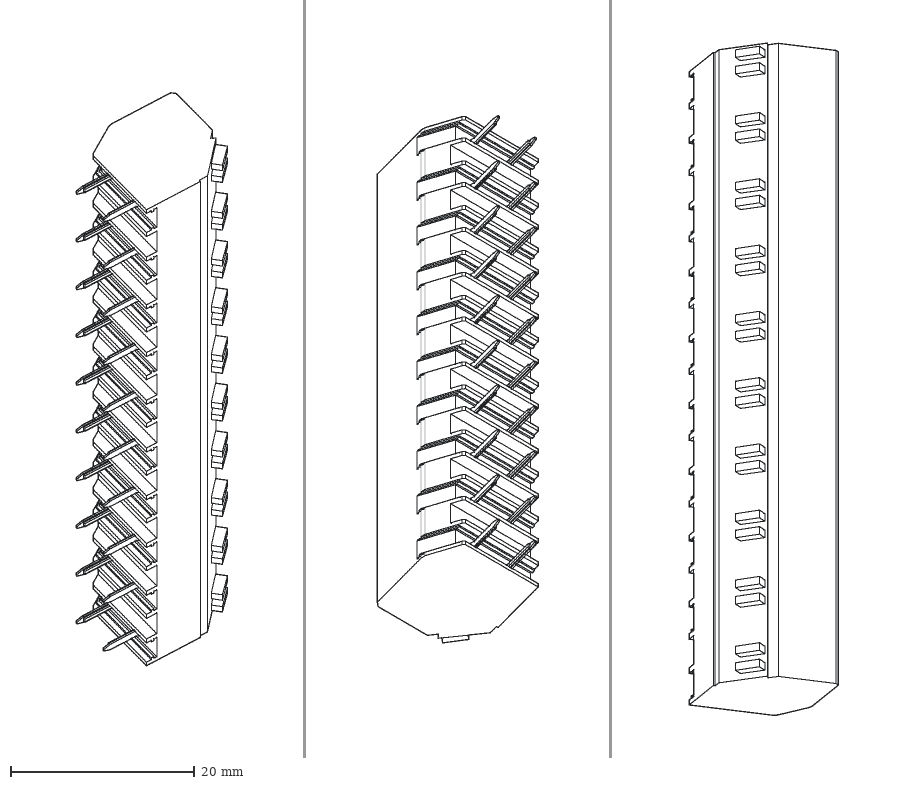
import cadquery as cq

length = 72.8
pole_count = 10
end_margin = 2.1
pitch = (length - 2 * end_margin) / (pole_count - 1)
first_pole_z = end_margin - length / 2

width = 12.7
depth = 12.8
back_bevel = 0.45
back_edge_end = 7.2
notch_depth = 0.9
slope_start = (8.4, 12.45)
step_x = 12.45
step_y = 7.3
chamfer_x = 2.55
chamfer_y = 4.15
side_bevel_y = 4.45
side_bevel_end_y = 3.9
pin_side_bevel_y = 0.2
pin_side_bevel_x = 2.7

pocket_floor = 1.4
pocket_shift = 0.65
pocket_height = 3.05
rib_front = 0.65
rib_front_shift = 0.2
rib_back = 1.0
rib_back_shift = 0.45
rib_opening = 2.55
gap_height = 3.3

pin_centres_x = (4.65, 9.45)
pin_layer = 0.2
pin_height = 0.9
pin_short_height = 0.5
pin_reach = 3.6
pin_tip_length = 0.9
pin_tip_height = 0.3
pin_shoulder_height = 1.45
pin_shoulder_length = 0.6

button_length = 2.9
button_rise = 1.4
button_root = 0.3
button_height = 2.8
button_slot = 1.0
button_centre = (9.5, 11.1)
button_angle = -47

overlap = 0.7


def chamfer_line_x(y):
    """X of the long chamfer at distance y from the pin side."""
    return chamfer_x * (1 - y / chamfer_y)


def make_housing():
    notch_x = back_edge_end + notch_depth
    notch_y = depth - notch_depth
    slope_end_y = slope_start[1] - (step_x - slope_start[0])
    outline = [
        (pin_side_bevel_x, 0),
        (width, 0),
        (width, step_y),
        (step_x, step_y),
        (step_x, slope_end_y),
        slope_start,
        (notch_x, notch_y),
        (back_edge_end, depth),
        (back_bevel, depth),
        (0, depth - back_bevel),
        (0, side_bevel_y),
        (chamfer_line_x(side_bevel_end_y), side_bevel_end_y),
        (chamfer_line_x(pin_side_bevel_y), pin_side_bevel_y),
    ]
    return cq.Workplane("XY").polyline(outline).close().extrude(length / 2, both=True)


def recess(floor, shift, height):
    """Everything in front of the floor and of the chamfer moved by shift toward +X."""
    outer_x = -overlap
    outer_y = chamfer_y * (1 + (shift - outer_x) / chamfer_x)
    outline = [
        (outer_x, -overlap),
        (width + overlap, -overlap),
        (width + overlap, floor),
        (chamfer_line_x(floor) + shift, floor),
        (outer_x, outer_y),
    ]
    return cq.Workplane("XY").polyline(outline).close().extrude(height / 2, both=True)


def make_pocket_cutter():
    """Pole pocket that leaves a snap rib standing on its upper and lower walls."""
    ribs = (
        recess(rib_back, rib_back_shift, pocket_height)
        .cut(recess(rib_front, rib_front_shift, pocket_height))
        .cut(recess(rib_back, rib_back_shift, rib_opening))
    )
    return recess(pocket_floor, pocket_shift, pocket_height).cut(ribs)


def gap_cutter(z):
    """Plain pocket between two poles; the chamfer runs on at the outer surface."""
    return cq.Workplane("XY").box(
        width + 2 * overlap, pocket_floor + overlap, gap_height, centered=(False, False, True)
    ).translate((-overlap, -overlap, z))


def make_pin(x, inward, z):
    """Two-layer pin pointing to -Y; inward (+1 or -1) is the X side of the shorter layer."""
    root = pocket_floor + overlap
    shoulder_end = pocket_floor - pin_shoulder_length
    tip_start = pin_tip_length - pin_reach
    upper = [
        (root, pin_shoulder_height / 2),
        (pocket_floor, pin_shoulder_height / 2),
        (shoulder_end, pin_height / 2),
        (tip_start, pin_height / 2),
        (-pin_reach, pin_tip_height / 2),
    ]
    lower = [(y, -height) for y, height in reversed(upper)]
    long_layer = cq.Workplane("YZ").polyline(upper + lower).close().extrude(-inward * pin_layer)
    short_layer = cq.Workplane("XY").box(
        pin_layer, root - tip_start, pin_short_height, centered=(True, False, True)
    ).translate((inward * pin_layer / 2, tip_start, 0))
    return long_layer.union(short_layer).translate((x, 0, z))


def make_button(z):
    block = cq.Workplane("XY").box(
        button_length, button_rise + button_root, button_height, centered=(True, False, True)
    )
    slot = cq.Workplane("XY").box(
        button_length, button_rise, button_slot, centered=(True, False, True)
    ).translate((0, button_root, 0))
    button = block.cut(slot).translate((0, -button_root, 0))
    button = button.rotate((0, 0, 0), (0, 0, 1), button_angle)
    return button.translate((button_centre[0], button_centre[1], z))


pocket_cutter = make_pocket_cutter()
result = make_housing()
for pole in range(pole_count):
    pole_z = first_pole_z + pole * pitch
    result = result.cut(pocket_cutter.translate((0, 0, pole_z)))
    if pole < pole_count - 1:
        result = result.cut(gap_cutter(pole_z + pitch / 2))
    result = result.union(make_pin(pin_centres_x[0], 1, pole_z))
    result = result.union(make_pin(pin_centres_x[1], -1, pole_z))
    result = result.union(make_button(pole_z))